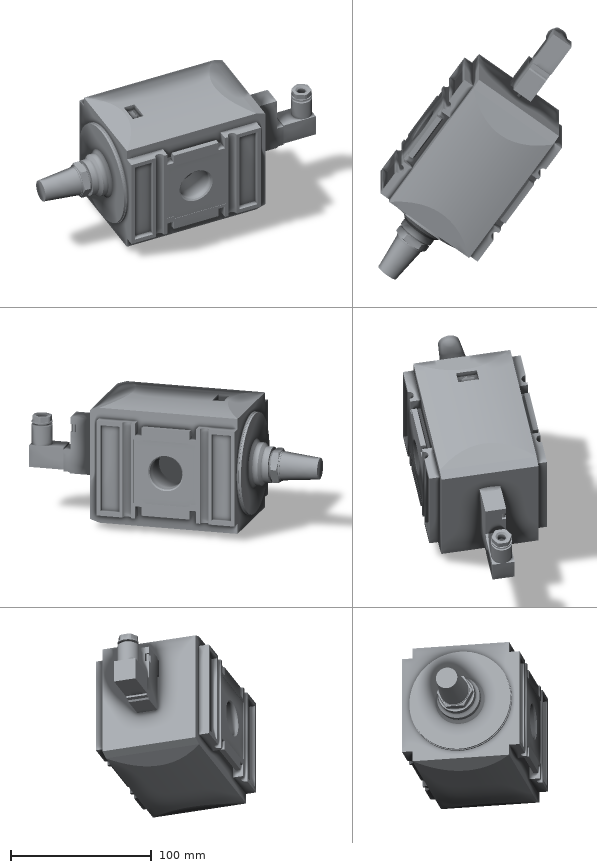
import cadquery as cq
import math

core_width = 70.0
core_side_height = 85.0
overall_height = 93.24
body_length = 102.0
body_end = body_length / 2
crown_slope_run = 15.5

cap_length = 7.0
cap_end = body_end + cap_length
cap_end_height = 80.4

flange_height = 70.0
side_face = core_side_height / 2
flange_inner_end = 22.7
core_half_width = core_width / 2
notch_floor = 26.0
fin_half_length = 17.6
fin_top = 32.5
fin_top_thickness = 3.8
fin_root_thickness = 5.4
groove_width = 6.5
groove_depth = 3.5
groove_offset = 28.6
pocket_width = 14.2
pocket_height = 63.8
pocket_offset = 41.1
pocket_depth = 4.0

pad_size = 47.0
pad_depth = 0.2
pad_corner_height = 2.0
port_diameter = 24.12
port_mouth_diameter = 26.0
port_depth = 25.0

window_length = 15.0
window_width = 8.4
window_offset = -28.8
window_depth = 4.5
arrow_length = 10.0
arrow_head_half_width = 3.2
arrow_shaft_half_width = 1.6
arrow_height = 1.0

disc_step = -52.4
disc_end = -54.0
disc_diameter = 74.0
disc_rim_diameter = 73.2
boss_root_diameter = 35.7
boss_flange_diameter = 31.0
boss_flange_start = -56.2
boss_flange_end = -60.1
boss_collar_diameter = 26.0
boss_collar_start = -62.3
boss_end = -67.0

silencer_neck_diameter = 21.7
nut_start = -68.2
nut_end = -73.7
nut_across_flats = 22.5
nut_across_corners = nut_across_flats / math.cos(math.pi / 6)
nut_chamfer = 0.8
nut_face_diameter = 22.8
cone_start = -74.7
cone_root_diameter = 20.95
cone_tip_diameter = 15.5
silencer_tip = -101.9

overall_length = 212.79
plug_back = silencer_tip + overall_length
valve_width = 15.0
valve_front = 61.9
valve_back = 80.4
valve_top = 25.3
valve_bottom = -16.2
tongue_back = 85.5
tongue_top = 1.0
tongue_bottom = -15.1
tongue_chamfer = 1.1
plug_width = 16.0
plug_top = 2.3
plug_bottom = -13.7

spacer_side_top = 24.2
spacer_side_bottom = 12.0
spacer_bottom = 11.3

stud_height = -4.5
stud_diameter = 3.2
stud_tip_diameter = 2.0
stud_step = 60.1

override_top = 20.3
override_bottom = 14.4
override_length = 4.0
override_depth = 3.0
override_pin_diameter = 2.46
override_pin_y = 77.9

gland_diameter = 15.0
gland_y = plug_back - gland_diameter / 2
gland_sleeve_top = 16.4
gland_neck_diameter = 10.0
gland_washer_bottom = 18.2
gland_washer_top = 19.1
gland_nut_across_flats = 13.0
gland_nut_corner_diameter = 14.2
gland_top = 23.0
cable_hole_diameter = 6.0
cable_hole_mouth_diameter = 8.6
cable_hole_mouth_angle = 90.0
cable_hole_depth = 6.0


def box_between(x_range, y_range, z_range):
    """Box given by its limits along each axis."""
    lows, highs = zip(x_range, y_range, z_range)
    sizes = [high - low for low, high in zip(lows, highs)]
    return cq.Workplane("XY").box(*sizes, centered=False).translate(lows)


def turned_along_y(steps):
    """Solid of revolution about Y through (diameter, y) outline points."""
    outline = [(diameter / 2, y) for diameter, y in steps]
    axis_ends = [(0, steps[-1][1]), (0, steps[0][1])]
    return cq.Workplane("XY").polyline(outline + axis_ends).close().revolve(360, (0, 0), (0, 1))


def both_sides(feature):
    """The feature on the -X side together with its mirror copy on the +X side."""
    return feature.union(feature.mirror("YZ"))


def core():
    """Block with arched top and bottom, sloped facets at the arch ends and a tapered cap."""
    shoulder = core_side_height / 2
    crown = overall_height / 2
    arched = (
        cq.Workplane("XZ")
        .moveTo(-core_half_width, -shoulder)
        .threePointArc((0, -crown), (core_half_width, -shoulder))
        .lineTo(core_half_width, shoulder)
        .threePointArc((0, crown), (-core_half_width, shoulder))
        .close()
        .extrude(body_end, both=True)
    )
    facet_start = body_end - crown_slope_run
    quarter = [(body_end, shoulder), (facet_start, crown)]
    upper = quarter + [(-y, z) for y, z in reversed(quarter)]
    lower = [(-y, -z) for y, z in upper]
    facets = cq.Workplane("YZ").polyline(upper + lower).close().extrude(core_half_width, both=True)
    cap_half_height = cap_end_height / 2
    cap = (
        cq.Workplane("YZ")
        .polyline([
            (body_end, -shoulder),
            (cap_end, -cap_half_height),
            (cap_end, cap_half_height),
            (body_end, shoulder),
        ])
        .close()
        .extrude(core_half_width, both=True)
    )
    return arched.intersect(facets).union(cap)


def side_flange():
    """Flange on the -X side: two full-height ends, a low saddle and a fin standing on it."""
    x_range = (-side_face, -core_half_width)
    half_height = flange_height / 2
    flange = box_between(x_range, (-body_end, body_end), (-notch_floor, notch_floor))
    for y_range in ((-body_end, -flange_inner_end), (flange_inner_end, body_end)):
        flange = flange.union(box_between(x_range, y_range, (-half_height, half_height)))
    fin_section = [
        (-side_face, -fin_top),
        (-side_face + fin_top_thickness, -fin_top),
        (-side_face + fin_root_thickness, -notch_floor),
        (-side_face + fin_root_thickness, notch_floor),
        (-side_face + fin_top_thickness, fin_top),
        (-side_face, fin_top),
    ]
    fin = cq.Workplane("XZ").polyline(fin_section).close().extrude(fin_half_length, both=True)
    return flange.union(fin)


def side_cuts():
    """Clamp grooves, end pockets, port pad and port removed from the -X side."""
    groove_radius = groove_width / 2
    groove_floor_centre = -side_face + groove_depth - groove_radius
    half_height = flange_height / 2
    pad_half = pad_size / 2
    pad = box_between((-side_face, -side_face + pad_depth), (-pad_half, pad_half), (-pad_half, pad_half))
    pad_corner = box_between(
        (-side_face, -side_face + pad_depth),
        (-pad_half, -fin_half_length),
        (-pad_half, -pad_half + pad_corner_height),
    )
    cuts = pad.cut(pad_corner)
    for side in (-1, 1):
        groove_y = side * groove_offset
        groove = (
            cq.Workplane("XY")
            .center(groove_floor_centre, groove_y)
            .circle(groove_radius)
            .extrude(half_height, both=True)
        )
        groove_mouth = box_between(
            (-side_face, groove_floor_centre),
            (groove_y - groove_radius, groove_y + groove_radius),
            (-half_height, half_height),
        )
        pocket = cq.Workplane("XY").box(2 * pocket_depth, pocket_width, pocket_height)
        pocket = pocket.translate((-side_face, side * pocket_offset, 0))
        cuts = cuts.union(groove).union(groove_mouth).union(pocket)
    bore = cq.Workplane("YZ").workplane(offset=-side_face).circle(port_diameter / 2).extrude(port_depth)
    mouth_depth = (port_mouth_diameter - port_diameter) / 2
    mouth = cq.Solid.makeCone(
        port_mouth_diameter / 2,
        port_diameter / 2,
        mouth_depth,
        pnt=cq.Vector(-side_face + pad_depth, 0, 0),
        dir=cq.Vector(1, 0, 0),
    )
    return cuts.union(bore).union(mouth)


def arrow_window():
    """Rectangular window with a raised arrow pointing along +X left standing on its floor."""
    floor = overall_height / 2 - window_depth
    window = (
        cq.Workplane("XY", origin=(0, window_offset, floor))
        .rect(window_length, window_width)
        .extrude(window_depth)
    )
    half_length = arrow_length / 2
    upper_edge = [
        (-half_length, arrow_shaft_half_width),
        (0, arrow_shaft_half_width),
        (0, arrow_head_half_width),
        (half_length, 0),
    ]
    lower_edge = [(x, -y) for x, y in reversed(upper_edge[:-1])]
    arrow = (
        cq.Workplane("XY", origin=(0, window_offset, floor))
        .polyline(upper_edge + lower_edge)
        .close()
        .extrude(arrow_height)
    )
    return window.cut(arrow)


def end_boss():
    """Round cover disc and stepped boss that carries the silencer."""
    return turned_along_y([
        (disc_diameter, -body_end),
        (disc_diameter, disc_step),
        (disc_rim_diameter, disc_step),
        (disc_rim_diameter, disc_end),
        (boss_root_diameter, disc_end),
        (boss_flange_diameter, boss_flange_start),
        (boss_flange_diameter, boss_flange_end),
        (boss_collar_diameter, boss_collar_start),
        (boss_collar_diameter, boss_end),
    ])


def spacer():
    """Block on the end cap that carries the pilot valve, bulged at its top and bottom."""
    half_width = valve_width / 2
    return (
        cq.Workplane("XZ", origin=(0, valve_front, 0))
        .moveTo(-half_width, spacer_side_bottom)
        .threePointArc((0, spacer_bottom), (half_width, spacer_side_bottom))
        .lineTo(half_width, spacer_side_top)
        .threePointArc((0, valve_top), (-half_width, spacer_side_top))
        .close()
        .extrude(valve_front - cap_end)
    )


def stud():
    """Stepped stud between the end cap and the lower part of the valve."""
    return turned_along_y([
        (stud_tip_diameter, valve_front),
        (stud_tip_diameter, stud_step),
        (stud_diameter, stud_step),
        (stud_diameter, cap_end),
    ]).translate((0, 0, stud_height))


def build_valve_body():
    body = core().union(both_sides(side_flange())).cut(both_sides(side_cuts()))
    return body.cut(arrow_window()).union(end_boss()).union(spacer()).union(stud())


def build_silencer():
    """Neck, hexagon nut with its corners chamfered, and a tapered exhaust body."""
    nut = (
        cq.Workplane("XZ", origin=(0, nut_start, 0))
        .polygon(6, nut_across_corners)
        .extrude(nut_start - nut_end)
    )
    corner_limit = turned_along_y([
        (nut_face_diameter, nut_start),
        (nut_across_corners, nut_start - nut_chamfer),
        (nut_across_corners, nut_end + nut_chamfer),
        (nut_face_diameter, nut_end),
    ])
    neck = turned_along_y([(silencer_neck_diameter, boss_end), (silencer_neck_diameter, nut_start)])
    tapered_end = turned_along_y([
        (silencer_neck_diameter, nut_end),
        (silencer_neck_diameter, cone_start),
        (cone_root_diameter, cone_start),
        (cone_tip_diameter, silencer_tip),
    ])
    return nut.intersect(corner_limit).union(neck).union(tapered_end)


def valve_block():
    """Valve housing with the lower tongue that enters the plug."""
    outline = [
        (valve_front, valve_top),
        (valve_back, valve_top),
        (valve_back, tongue_top),
        (tongue_back, tongue_top),
        (tongue_back, tongue_bottom),
        (valve_back + tongue_chamfer, tongue_bottom),
        (valve_back, valve_bottom),
        (valve_front, valve_bottom),
    ]
    return cq.Workplane("YZ").polyline(outline).close().extrude(valve_width / 2, both=True)


def override_recess():
    """Corner recess on the -X side, less the upright pin that stands in it."""
    recess = box_between(
        (-valve_width / 2, -valve_width / 2 + override_depth),
        (valve_back - override_length, valve_back),
        (override_bottom, override_top),
    )
    pin_x = -valve_width / 2 + override_depth / 2
    pin = (
        cq.Workplane("XY", origin=(pin_x, override_pin_y, override_bottom))
        .circle(override_pin_diameter / 2)
        .extrude(override_top - override_bottom)
    )
    return recess.cut(pin)


def cable_gland():
    """Sleeve, neck, washer and nut stacked on the plug, with a countersunk cable hole."""
    levels = [
        (gland_diameter, plug_top, gland_sleeve_top),
        (gland_neck_diameter, gland_sleeve_top, gland_washer_bottom),
        (gland_diameter, gland_washer_bottom, gland_washer_top),
    ]
    nut_height = gland_top - gland_washer_top
    gland = (
        cq.Workplane("XY", origin=(0, gland_y, gland_washer_top))
        .polygon(6, gland_nut_across_flats / math.cos(math.pi / 6))
        .extrude(nut_height)
    )
    corner_limit = (
        cq.Workplane("XY", origin=(0, gland_y, gland_washer_top))
        .circle(gland_nut_corner_diameter / 2)
        .extrude(nut_height)
    )
    gland = gland.intersect(corner_limit)
    for diameter, bottom, top in levels:
        level = cq.Workplane("XY", origin=(0, gland_y, bottom)).circle(diameter / 2).extrude(top - bottom)
        gland = gland.union(level)
    return (
        gland.faces(">Z")
        .workplane(origin=(0, gland_y, gland_top))
        .cskHole(cable_hole_diameter, cable_hole_mouth_diameter, cable_hole_mouth_angle, cable_hole_depth)
    )


def build_pilot_valve():
    plug = box_between((-plug_width / 2, plug_width / 2), (tongue_back, plug_back), (plug_bottom, plug_top))
    valve = valve_block().cut(override_recess())
    return valve.union(plug).union(cable_gland())


valve_body = build_valve_body()
silencer = build_silencer()
pilot_valve = build_pilot_valve()

result = cq.Compound.makeCompound([
    valve_body.solids().val(),
    silencer.solids().val(),
    pilot_valve.solids().val(),
])